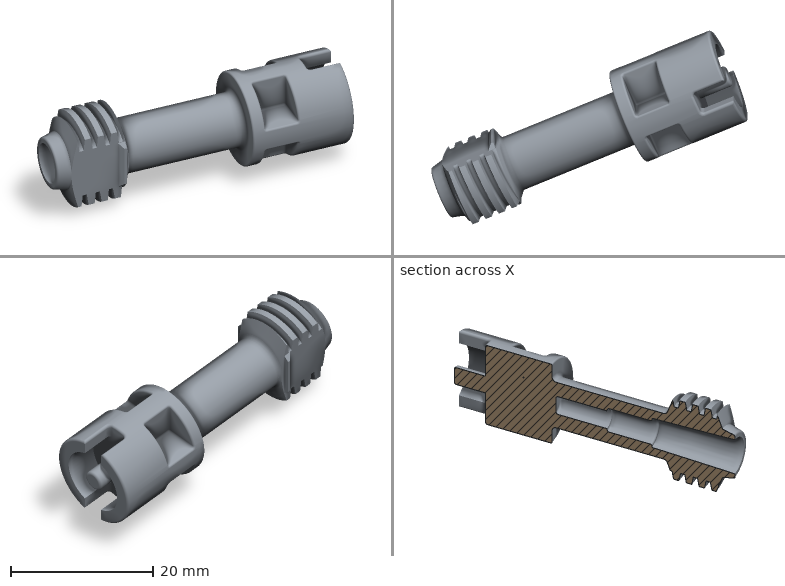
import cadquery as cq
import math

total_length = 44.0

head_radius = 6.9
head_length = 15.4
head_start = total_length - head_length
head_edge_round = 0.25
web_half_width = 1.65

slot_half_width = 1.6
slot_depth = 4.9
slot_corner_round = 0.5
slot_rim_round = 0.35
cavity_radius = 4.8
cavity_depth = slot_depth
pin_radius = 1.5
pin_edge_round = 0.4

pocket_start = head_start + 1.9
pocket_length = 5.1
pocket_round = 0.3

shank_radius = 4.0
shank_fillet = 0.6

thread_radius = 7.0
root_radius = 5.67
thread_pitch = 2.0
cone_angle = math.radians(20)
cone_slope = math.tan(cone_angle)
block_front_rim = 2.95
block_rear_rim = 9.7
flat_half_width = 4.25
groove_root_width = 0.62
groove_flank_slope = math.tan(math.radians(10))
groove_start_at_top = 11.22
groove_turns = 4.55

tool_clearance = 0.5
radius_tolerance = 0.001

tab_height = 0.72
tab_half_length = 3.7
tab_front = 9.0
tab_rear = 10.1
tab_embed = 0.5

tip_base_radius = 4.25
tip_end_radius = 3.75
tip_edge_round = 0.35
bore_mouth_radius = 2.92
bore_step_radius = 2.5
bore_step_depth = 13.0
middle_bore_radius = 2.0
middle_bore_depth = 20.0
inner_bore_radius = 1.5
bore_depth = 28.0
bore_round = 0.3


def revolve_about_axis(outline):
    """Turn a closed (radius, y) outline about the Y axis."""
    return outline.close().revolve(360, (0, 0, 0), (0, 1, 0))


def cylinder_along_axis(radius, start, length):
    return cq.Workplane("XZ", origin=(0, start, 0)).circle(radius).extrude(-length)


def turned_spindle():
    """Tip, double-coned thread barrel and shank, with the barrel cut to two flats.

    The flare behind the barrel is tangent to the shank and to the barrel's rear cone.
    """
    front = block_front_rim - (thread_radius - tip_base_radius) * cone_slope
    rear = block_rear_rim + (thread_radius - shank_radius) * cone_slope
    tangent = shank_fillet * math.tan((math.pi / 2 - cone_angle) / 2)
    flare_outer = (
        shank_radius + tangent * math.cos(cone_angle),
        rear - tangent * math.sin(cone_angle),
    )
    outline = (
        cq.Workplane("XY")
        .lineTo(tip_end_radius, 0)
        .lineTo(tip_base_radius, front)
        .lineTo(thread_radius, block_front_rim)
        .lineTo(thread_radius, block_rear_rim)
        .lineTo(*flare_outer)
        .radiusArc((shank_radius, rear + tangent), shank_fillet)
        .lineTo(shank_radius, head_start)
        .lineTo(0, head_start)
    )
    spindle = revolve_about_axis(outline)
    flats = cq.Workplane("XY").box(2 * flat_half_width, 2 * head_start, 4 * thread_radius)
    spindle = spindle.intersect(flats).faces("<Y").edges().fillet(tip_edge_round)
    return spindle.cut(thread_groove().intersect(flats))


def thread_groove():
    """Sweep the groove section along a helix, then lay the helix along the Y axis.

    The helix is built along +Z from (+X, z = 0); the two turns bring its start
    to the top of the block and its run toward the tip.
    """
    clear_radius = thread_radius + tool_clearance
    root_half = groove_root_width / 2
    clear_half = root_half + (clear_radius - root_radius) * groove_flank_slope
    path = cq.Wire.makeHelix(thread_pitch, thread_pitch * groove_turns, root_radius)
    section = (
        cq.Workplane("XZ")
        .moveTo(root_radius, -root_half)
        .lineTo(clear_radius, -clear_half)
        .lineTo(clear_radius, clear_half)
        .lineTo(root_radius, root_half)
        .close()
    )
    groove = section.sweep(cq.Workplane(obj=path), isFrenet=True)
    groove = groove.rotate((0, 0, 0), (1, 0, 0), 90)
    groove = groove.rotate((0, 0, 0), (0, 1, 0), -90)
    return groove.translate((0, groove_start_at_top, 0))


def stop_tab(side):
    """Tab on one flat: square rear face, 45-degree slopes on the other three sides."""
    top = flat_half_width + tab_height
    base = flat_half_width - tab_embed
    run = tab_height + tab_embed
    half_base = tab_half_length + tab_embed
    plan = (
        cq.Workplane("XY", origin=(0, 0, -half_base))
        .moveTo(base, tab_front - tab_embed)
        .lineTo(top, tab_front + tab_height)
        .lineTo(top, tab_rear)
        .lineTo(base, tab_rear)
        .close()
        .extrude(2 * half_base)
    )
    elevation = (
        cq.Workplane("XZ", origin=(0, tab_rear, 0))
        .moveTo(base, -half_base)
        .lineTo(top, run - half_base)
        .lineTo(top, half_base - run)
        .lineTo(base, half_base)
        .close()
        .extrude(2 * (tab_rear - tab_front))
    )
    tab = plan.intersect(elevation)
    return tab if side > 0 else tab.mirror("YZ")


def head_body():
    """Plain head cylinder with its concave fillet onto the shank."""
    head = cylinder_along_axis(head_radius, head_start, head_length)
    head = head.faces("<Y").edges().fillet(head_edge_round)
    fillet_outline = (
        cq.Workplane("XY")
        .moveTo(0, head_start - shank_fillet)
        .lineTo(shank_radius, head_start - shank_fillet)
        .radiusArc((shank_radius + shank_fillet, head_start), shank_fillet)
        .lineTo(shank_radius + shank_fillet, head_start + shank_fillet)
        .lineTo(0, head_start + shank_fillet)
    )
    return head.union(revolve_about_axis(fillet_outline))


def outer_wall_edges(body, y_min, y_max):
    """Edges of the head's outer cylinder lying wholly between two Y positions."""
    box = cq.selectors.BoxSelector(
        (-2 * head_radius, y_min, -2 * head_radius),
        (2 * head_radius, y_max, 2 * head_radius),
        boundingbox=True,
    )
    wall_edges = []
    for edge in body.edges(box).vals():
        points = [edge.positionAt(t) for t in (0, 0.5, 1)]
        if all(abs(math.hypot(p.x, p.z) - head_radius) < radius_tolerance for p in points):
            wall_edges.append(edge)
    return body.newObject(wall_edges)


def corner_pocket(x_side, z_side):
    """Square-cornered pocket tool that leaves half of the cross-shaped web on each side."""
    size = 2 * head_radius
    corner = (web_half_width, pocket_start, web_half_width)
    tool = cq.Workplane("XY", origin=corner).box(size, pocket_length, size, centered=False)
    tool = tool.edges("(<X and <Z) or (<X and |Z) or (<Z and |X)").fillet(pocket_round)
    if x_side < 0:
        tool = tool.mirror("YZ")
    if z_side < 0:
        tool = tool.mirror("XY")
    return tool


def cut_pockets(body):
    for x_side in (-1, 1):
        for z_side in (-1, 1):
            body = body.cut(corner_pocket(x_side, z_side))
    pocket_end = pocket_start + pocket_length
    rim = outer_wall_edges(body, pocket_start - pocket_round, pocket_end + pocket_round)
    return rim.fillet(pocket_round)


def cut_drive_end(body):
    """Cavity, through slot and centre pin in the open end of the head."""
    slot_end = total_length - slot_depth
    slot = (
        cq.Workplane("XY", origin=(0, slot_end, 0))
        .box(2 * slot_half_width, 2 * slot_depth, 4 * head_radius, centered=(True, False, True))
        .edges("|Z and <Y")
        .fillet(slot_corner_round)
    )
    body = body.cut(slot)
    rim = outer_wall_edges(body, slot_end - slot_rim_round, total_length + tool_clearance)
    body = rim.fillet(slot_rim_round)
    body = body.cut(cylinder_along_axis(cavity_radius, total_length - cavity_depth, cavity_depth))
    pin = cylinder_along_axis(pin_radius, slot_end - pin_radius, slot_depth + pin_radius)
    return body.union(pin.faces(">Y").edges().fillet(pin_edge_round))


def stepped_bore():
    """Blind bore from the tip: tapered mouth, then two plain steps with rounded edges."""
    outline = (
        cq.Workplane("XY")
        .lineTo(bore_mouth_radius, 0)
        .lineTo(bore_step_radius, bore_step_depth)
        .lineTo(middle_bore_radius + bore_round, bore_step_depth)
        .radiusArc((middle_bore_radius, bore_step_depth + bore_round), bore_round)
        .lineTo(middle_bore_radius, middle_bore_depth - bore_round)
        .radiusArc((middle_bore_radius - bore_round, middle_bore_depth), -bore_round)
        .lineTo(inner_bore_radius, middle_bore_depth)
        .lineTo(inner_bore_radius, bore_depth - bore_round)
        .radiusArc((inner_bore_radius - bore_round, bore_depth), -bore_round)
        .lineTo(0, bore_depth)
    )
    return revolve_about_axis(outline)


head = cut_drive_end(cut_pockets(head_body()))
result = turned_spindle().union(head)
for side in (-1, 1):
    result = result.union(stop_tab(side))
result = result.cut(stepped_bore())